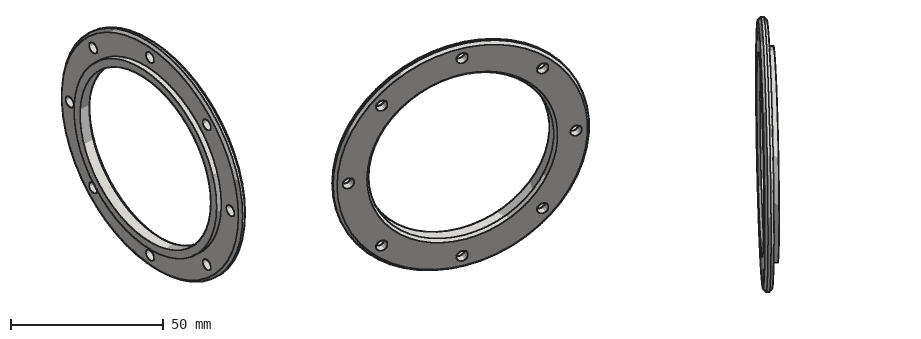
import cadquery as cq

flange_diameter = 90.0
flange_thickness = 3.0
edge_chamfer = 1.0
spigot_diameter = 71.0
spigot_height = 2.0
bore_diameter = 65.0
bolt_circle_diameter = 80.0
bolt_hole_diameter = 4.0
bolt_hole_count = 8

total_thickness = flange_thickness + spigot_height


def disc(diameter, thickness):
    """Solid disc about Y whose back face lies on Y = 0 and which extends toward -Y."""
    return cq.Workplane("XZ").circle(diameter / 2).extrude(thickness)


def flange():
    """Outer plate with its front rim edge chamfered."""
    return disc(flange_diameter, flange_thickness).faces("<Y").edges().chamfer(edge_chamfer)


def ring_body():
    """Flange and spigot, bored through, with the back rim and back bore edges chamfered."""
    body = flange().union(disc(spigot_diameter, total_thickness))
    body = body.cut(disc(bore_diameter, total_thickness))
    return body.faces(">Y").edges().chamfer(edge_chamfer)


def bolt_holes():
    """Through-hole cutters spaced evenly around the bolt circle."""
    return (
        cq.Workplane("XZ")
        .polarArray(bolt_circle_diameter / 2, 0, 360, bolt_hole_count)
        .circle(bolt_hole_diameter / 2)
        .extrude(flange_thickness)
    )


result = ring_body().cut(bolt_holes())